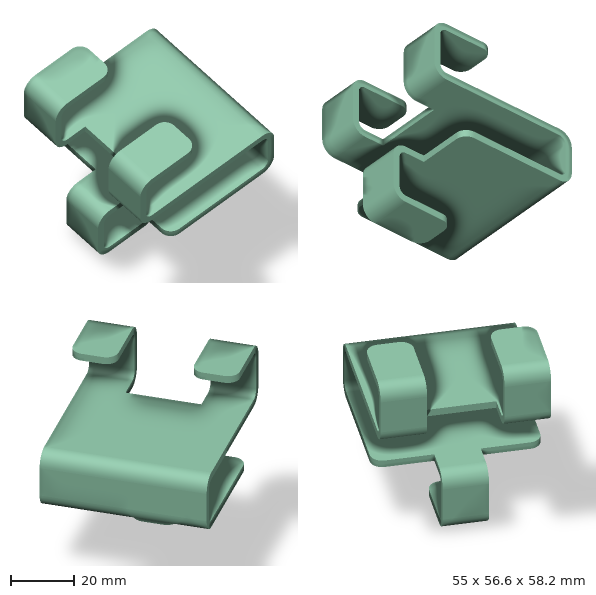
import cadquery as cq

width = 55.0
depth = 56.6
height = 58.2
thickness = 2.5
bend_radius = 5.0
inner_radius = bend_radius - thickness

plate_depth = 44.15
hook_width = 15.0
lip_length = 24.15
corner_radius = 4.0
hook_height = 21.6

back = depth / 2
front = -depth / 2
plate_front = back - plate_depth
lip_end = front + lip_length
top = height / 2
plate_top = top - hook_height + thickness
overlap = bend_radius


def slab(x_center, size_x, y_min, y_max, z_min, z_max):
    """Box given by its X centre and width and its Y and Z limits."""
    return cq.Workplane("XY").box(size_x, y_max - y_min, z_max - z_min).translate(
        (x_center, (y_min + y_max) / 2, (z_min + z_max) / 2)
    )


def channel():
    """Two plates joined by a bent back wall, open to the front."""
    outer = slab(0, width, plate_front, back, -plate_top, plate_top)
    outer = outer.edges("|X and >Y").fillet(bend_radius)
    inside_top = plate_top - thickness
    inner = slab(0, width, plate_front, back - thickness, -inside_top, inside_top)
    inner = inner.edges("|X and >Y").fillet(inner_radius)
    body = outer.cut(inner)
    lower_corners = body.faces("<Y").edges("|Z").edges("<Z")
    return lower_corners.fillet(corner_radius)


def upper_hook(x_center):
    """C-shaped hook rising from the upper plate and ending in a rounded lip."""
    hook_bottom = plate_top - thickness
    outer = slab(x_center, hook_width, front, lip_end, hook_bottom, top)
    outer = outer.edges("|X and <Y").fillet(bend_radius)
    inner = slab(x_center, hook_width, front + thickness, lip_end, plate_top, top - thickness)
    inner = inner.edges("|X and <Y").fillet(inner_radius)
    spare = slab(x_center, hook_width, plate_front + overlap, lip_end, hook_bottom, plate_top)
    hook = outer.cut(inner).cut(spare)
    return hook.edges("|Z and >Y").fillet(corner_radius)


side_hook_x = (width - hook_width) / 2

result = channel()
for x_center in (-side_hook_x, side_hook_x):
    result = result.union(upper_hook(x_center))
result = result.union(upper_hook(0).mirror("XY"))